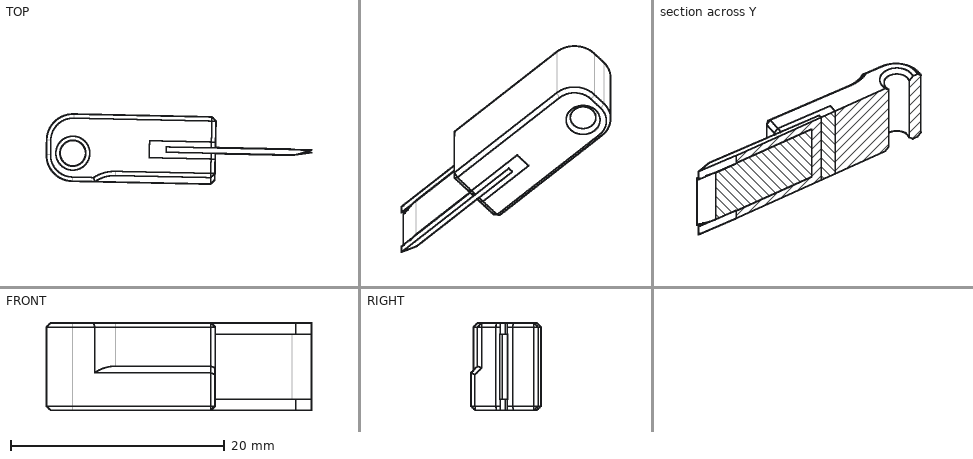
import cadquery as cq
import math

TOTAL_LENGTH = 24.9
SWING_ANGLE = -1.2
HEIGHT = 8.2
EDGE_CHAMFER = 0.4

CORNER_RADIUS = 2.5
HOUSING_WIDTH = 6.33
HOUSING_END_X = 13.38
SIDE_Y = -CORNER_RADIUS

HOLE_DIAMETER = 2.4
HOLE_Y = 0.15

RELIEF_DEPTH = 0.62
RELIEF_RADIUS = 3.2
RELIEF_FLAT_X = 4.0
RELIEF_FLOOR_Z = 4.14
RELIEF_FACE_Y = SIDE_Y + RELIEF_DEPTH

BLADE_CENTRE_Y = SIDE_Y + HOUSING_WIDTH / 2
HOLDER_WIDTH = 1.6
HOLDER_START_X = 7.17

FRAME_THICKNESS = 0.5
FRAME_START_X = 8.75
FRAME_RIM = 1.05
FRAME_BEVEL = 1.5
FRAME_TIP_Y = BLADE_CENTRE_Y + FRAME_THICKNESS / 2
SWING = math.radians(SWING_ANGLE)
TIP_X = (TOTAL_LENGTH - CORNER_RADIUS + FRAME_TIP_Y * math.sin(SWING)) / math.cos(SWING)

CORE_THICKNESS = 0.6
CORE_BEVEL = 1.87
CORE_START_X = FRAME_START_X + FRAME_RIM
CORE_HEIGHT = HEIGHT - 2 * FRAME_RIM

CLEARANCE = 1.25


def block(x_start, x_end, y_start, y_end, z_start, z_end):
    """A box given by its limits along each axis."""
    size = (x_end - x_start, y_end - y_start, z_end - z_start)
    return cq.Workplane().box(*size, centered=False).translate((x_start, y_start, z_start))


def make_outline_prism():
    """Housing body with two rounded corners at the hole end."""
    prism = block(
        -CORNER_RADIUS, HOUSING_END_X, SIDE_Y, SIDE_Y + HOUSING_WIDTH, 0, HEIGHT
    )
    return prism.edges("|Z and <X").fillet(CORNER_RADIUS)


def make_relief():
    """Cutter for the relief: round run-in at one end and a floor sloping down at 45 degrees."""
    arc_centre_y = RELIEF_FACE_Y - RELIEF_RADIUS
    reach_y = SIDE_Y - CLEARANCE
    run_in = math.sqrt(RELIEF_RADIUS**2 - (reach_y - arc_centre_y) ** 2)
    profile = (
        cq.Workplane()
        .moveTo(RELIEF_FLAT_X - run_in, reach_y)
        .lineTo(HOUSING_END_X + CLEARANCE, reach_y)
        .lineTo(HOUSING_END_X + CLEARANCE, RELIEF_FACE_Y)
        .lineTo(RELIEF_FLAT_X, RELIEF_FACE_Y)
        .radiusArc((RELIEF_FLAT_X - run_in, reach_y), -RELIEF_RADIUS)
        .close()
        .extrude(HEIGHT)
    )
    floor_drop = RELIEF_FACE_Y - reach_y
    above_floor = (
        cq.Workplane("YZ", origin=(-CORNER_RADIUS, 0, 0))
        .polyline(
            [
                (RELIEF_FACE_Y, RELIEF_FLOOR_Z),
                (RELIEF_FACE_Y, HEIGHT),
                (reach_y, HEIGHT),
                (reach_y, RELIEF_FLOOR_Z - floor_drop),
            ]
        )
        .close()
        .extrude(HOUSING_END_X + CORNER_RADIUS + CLEARANCE)
    )
    return profile.intersect(above_floor)


def make_hole():
    """Cutter for the through hole with a countersink at both ends."""
    radius = HOLE_DIAMETER / 2
    half_profile = [
        (0, 0),
        (radius + EDGE_CHAMFER, 0),
        (radius, EDGE_CHAMFER),
        (radius, HEIGHT - EDGE_CHAMFER),
        (radius + EDGE_CHAMFER, HEIGHT),
        (0, HEIGHT),
    ]
    cutter = cq.Workplane("XZ").polyline(half_profile).close().revolve(360, (0, 0), (0, 1))
    return cutter.translate((0, HOLE_Y, 0))


def make_handle_blank():
    """Housing and holder together, before the holder is parted off."""
    blank = make_outline_prism().cut(make_relief())
    blank = blank.faces("<Z or >Z or >X").edges().chamfer(EDGE_CHAMFER)
    return blank.cut(make_hole())


def make_core():
    """Centre strip of the blade, sharpened from both sides."""
    half = CORE_THICKNESS / 2
    bevel_x = TIP_X - CORE_BEVEL
    return (
        cq.Workplane(origin=(0, BLADE_CENTRE_Y, FRAME_RIM))
        .polyline(
            [
                (CORE_START_X, -half),
                (bevel_x, -half),
                (TIP_X, 0),
                (bevel_x, half),
                (CORE_START_X, half),
            ]
        )
        .close()
        .extrude(CORE_HEIGHT)
    )


def make_frame():
    """Full-height blade sharpened from the -Y side, with an open slot for the core."""
    half = FRAME_THICKNESS / 2
    plate = (
        cq.Workplane(origin=(0, BLADE_CENTRE_Y, 0))
        .polyline(
            [
                (FRAME_START_X, -half),
                (TIP_X - FRAME_BEVEL, -half),
                (TIP_X, half),
                (FRAME_START_X, half),
            ]
        )
        .close()
        .extrude(HEIGHT)
    )
    slot = block(
        CORE_START_X,
        TIP_X,
        BLADE_CENTRE_Y - half,
        BLADE_CENTRE_Y + half,
        FRAME_RIM,
        HEIGHT - FRAME_RIM,
    )
    return plate.cut(slot)


def swing(body):
    """Turn a body about the Z axis into its final place."""
    return body.rotate((0, 0, 0), (0, 0, 1), SWING_ANGLE)


handle_blank = make_handle_blank()
holder_space = block(
    HOLDER_START_X,
    HOUSING_END_X,
    BLADE_CENTRE_Y - HOLDER_WIDTH / 2,
    BLADE_CENTRE_Y + HOLDER_WIDTH / 2,
    0,
    HEIGHT,
)
blade_core = make_core()
blade_frame = make_frame()
housing = handle_blank.cut(holder_space)
holder = handle_blank.intersect(holder_space).cut(blade_frame).cut(blade_core)

bodies = [housing, holder, blade_frame, blade_core]
result = cq.Compound.makeCompound([swing(body).val() for body in bodies])